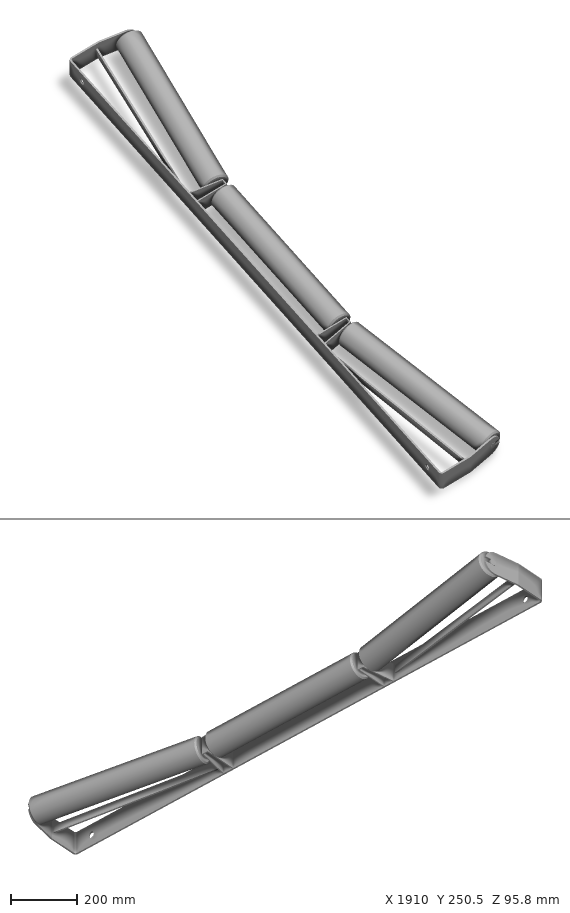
import cadquery as cq
import math

OVERALL_LENGTH = 1910.0
BAR_HEIGHT = 80.0
BAR_THICKNESS = 6.0
CORNER_OUTER_RADIUS = 12.0
ARM_STRAIGHT = 112.0
ARM_TIP_Y = 238.0
MOUNTING_HOLE_SPACING = 1770.0
MOUNTING_HOLE_DIAMETER = 22.0

TROUGH_ANGLE = 10.0
ROLLER_DIAMETER = 89.0
ROLLER_LENGTH = 600.0
ROLLER_CHAMFER = 5.0
SHAFT_DIAMETER = 22.0
SHAFT_LENGTH = 619.0
SHAFT_SLOT_WIDTH = 18.0
MIDDLE_ROLLER_Y = 99.0
MIDDLE_ROLLER_Z = 33.18
OUTER_ROLLER_X = -634.0
OUTER_ROLLER_Y = 155.5
OUTER_ROLLER_RISE = 6.88

SHEET_THICKNESS = 4.0
STRAIGHT_LEG_X = -309.7
LEANING_LEG_FOOT_X = -349.0
BRIDGE_TOP_Y = 121.0
BRACKET_HEIGHT = 65.0

BRACE_HEIGHT = 29.0
BRACE_THICKNESS = 6.0
BRACE_ARM_Y = 107.0
BRACE_FOOT_X = -358.0
BRACE_FOOT_RISE = 3.6

HALF_LENGTH = OVERALL_LENGTH / 2
BAR_MID_Z = BAR_HEIGHT / 2
SIN_TROUGH = math.sin(math.radians(TROUGH_ANGLE))
COS_TROUGH = math.cos(math.radians(TROUGH_ANGLE))
TAN_TROUGH = SIN_TROUGH / COS_TROUGH


def mirrored(body):
    """The matching copy on the +X side."""
    return body.mirror("YZ")


MIDDLE_AXIS = cq.Plane(
    origin=(0, MIDDLE_ROLLER_Y, MIDDLE_ROLLER_Z),
    xDir=(1, 0, 0),
    normal=(0, 0, 1),
)
SLOPE = OUTER_ROLLER_RISE / ROLLER_LENGTH
OUTER_AXIS = cq.Plane(
    origin=(OUTER_ROLLER_X, OUTER_ROLLER_Y, MIDDLE_ROLLER_Z + OUTER_ROLLER_RISE / 2),
    xDir=(COS_TROUGH, -SIN_TROUGH, -SLOPE),
    normal=(SLOPE * COS_TROUGH, -SLOPE * SIN_TROUGH, 1),
)


def placed(body, axis):
    return cq.Workplane("XY").add(body.val().moved(axis.location))


def make_shaft():
    return (
        cq.Workplane("YZ")
        .workplane(offset=-SHAFT_LENGTH / 2)
        .circle(SHAFT_DIAMETER / 2)
        .extrude(SHAFT_LENGTH)
    )


def make_roller():
    shell = (
        cq.Workplane("YZ")
        .workplane(offset=-ROLLER_LENGTH / 2)
        .circle(ROLLER_DIAMETER / 2)
        .extrude(ROLLER_LENGTH)
        .faces("<X or >X")
        .chamfer(ROLLER_CHAMFER)
    )
    return shell.union(make_shaft())


def make_shaft_slot():
    """Round seat for the outer end of an outer shaft, with a narrower slot out of the arm tip."""
    slot_length = ARM_TIP_Y - ARM_STRAIGHT
    opening = cq.Workplane("XY").box(
        (SHAFT_LENGTH - ROLLER_LENGTH) / 2,
        slot_length,
        SHAFT_SLOT_WIDTH,
        centered=(False, False, True),
    )
    return opening.translate((-SHAFT_LENGTH / 2, 0, 0)).union(make_shaft())


def make_brace():
    """Sloping flat bar, set flush in the arm and resting on the rail."""
    foot_y = BAR_THICKNESS + BRACE_FOOT_RISE
    slope_angle = math.atan2(BRACE_ARM_Y - foot_y, BRACE_FOOT_X + HALF_LENGTH)
    drop = BRACE_THICKNESS / math.cos(slope_angle)
    foot_run = (drop - BRACE_FOOT_RISE) / math.tan(slope_angle)
    return (
        cq.Workplane("XY")
        .workplane(offset=BAR_MID_Z - BRACE_HEIGHT / 2)
        .moveTo(-HALF_LENGTH, BRACE_ARM_Y)
        .lineTo(BRACE_FOOT_X, foot_y)
        .lineTo(BRACE_FOOT_X, BAR_THICKNESS)
        .lineTo(BRACE_FOOT_X - foot_run, BAR_THICKNESS)
        .lineTo(-HALF_LENGTH, BRACE_ARM_Y - drop)
        .close()
        .extrude(BRACE_HEIGHT)
    )


def make_leaning_arm():
    """Upper part of the left arm: leans inward and ends in a half round."""
    arm_plane = cq.Plane(
        origin=(-HALF_LENGTH, ARM_STRAIGHT, 0),
        xDir=(SIN_TROUGH, COS_TROUGH, 0),
        normal=(COS_TROUGH, -SIN_TROUGH, 0),
    )
    tip = (ARM_TIP_Y - ARM_STRAIGHT) / COS_TROUGH
    straight = tip - BAR_HEIGHT / 2
    arm = (
        cq.Workplane(arm_plane)
        .lineTo(straight, 0)
        .threePointArc((tip, BAR_MID_Z), (straight, BAR_HEIGHT))
        .lineTo(0, BAR_HEIGHT)
        .close()
        .extrude(BAR_THICKNESS)
    )
    return arm.cut(placed(make_shaft_slot(), OUTER_AXIS))


def make_frame():
    inner_half = HALF_LENGTH - BAR_THICKNESS
    inside_depth = ARM_STRAIGHT - BAR_THICKNESS
    channel = (
        cq.Workplane("XY")
        .rect(OVERALL_LENGTH, 2 * ARM_STRAIGHT)
        .extrude(BAR_HEIGHT)
        .edges("|Z")
        .fillet(CORNER_OUTER_RADIUS)
        .translate((0, ARM_STRAIGHT, 0))
    )
    hollow = (
        cq.Workplane("XY")
        .rect(2 * inner_half, 2 * inside_depth)
        .extrude(BAR_HEIGHT)
        .edges("|Z")
        .fillet(CORNER_OUTER_RADIUS - BAR_THICKNESS)
        .translate((0, ARM_STRAIGHT, 0))
    )
    lower_half = cq.Workplane("XY").box(
        OVERALL_LENGTH, ARM_STRAIGHT, BAR_HEIGHT, centered=(True, False, False)
    )
    holes = (
        cq.Workplane("XZ")
        .pushPoints([(side * MOUNTING_HOLE_SPACING / 2, BAR_MID_Z) for side in (-1, 1)])
        .circle(MOUNTING_HOLE_DIAMETER / 2)
        .extrude(-BAR_THICKNESS)
    )
    arm = make_leaning_arm()
    brace = make_brace()
    rail = channel.cut(hollow).intersect(lower_half).cut(holes)
    return rail.union(arm).union(mirrored(arm)).cut(brace).cut(mirrored(brace))


def make_bracket():
    """Inverted U of sheet, level with the middle roller: upright leg, bridge and leaning leg."""
    leg_width = SHEET_THICKNESS / COS_TROUGH
    bridge_bottom_y = BRIDGE_TOP_Y - SHEET_THICKNESS

    def leaning_x(y):
        return LEANING_LEG_FOOT_X + (y - BAR_THICKNESS) * TAN_TROUGH

    upright_inner_x = STRAIGHT_LEG_X + SHEET_THICKNESS
    bracket = (
        cq.Workplane("XY")
        .workplane(offset=MIDDLE_ROLLER_Z - BRACKET_HEIGHT / 2)
        .moveTo(leaning_x(BAR_THICKNESS), BAR_THICKNESS)
        .lineTo(leaning_x(BRIDGE_TOP_Y), BRIDGE_TOP_Y)
        .lineTo(upright_inner_x, BRIDGE_TOP_Y)
        .lineTo(upright_inner_x, BAR_THICKNESS)
        .lineTo(STRAIGHT_LEG_X, BAR_THICKNESS)
        .lineTo(STRAIGHT_LEG_X, bridge_bottom_y)
        .lineTo(leaning_x(bridge_bottom_y) + leg_width, bridge_bottom_y)
        .lineTo(leaning_x(BAR_THICKNESS) + leg_width, BAR_THICKNESS)
        .close()
        .extrude(BRACKET_HEIGHT)
    )
    for axis in (MIDDLE_AXIS, OUTER_AXIS):
        bracket = bracket.cut(placed(make_shaft(), axis))
    return bracket


frame = make_frame()
roller = make_roller()
middle_roller = placed(roller, MIDDLE_AXIS)
outer_roller = placed(roller, OUTER_AXIS)
bracket = make_bracket()
brace = make_brace()

bodies = [frame.solids().val(), middle_roller.solids().val()]
for side_body in (outer_roller, bracket, brace):
    bodies.append(side_body.solids().val())
    bodies.append(mirrored(side_body).solids().val())

result = cq.Compound.makeCompound(bodies)